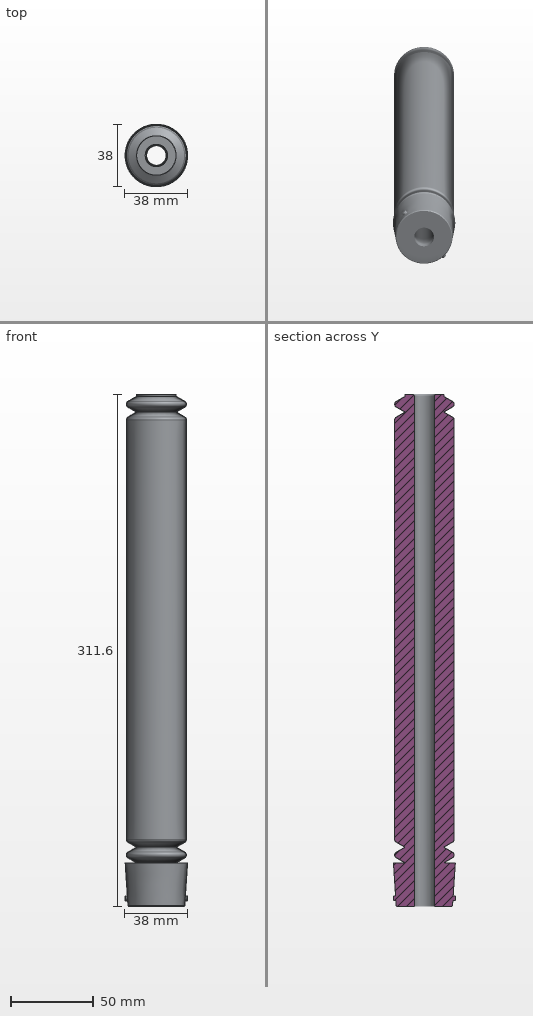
import cadquery as cq
import math

total_height = 311.59
column_diameter = 36.5
neck_diameter = 24.0
bore_diameter = 12.0
bore_chamfer = 0.8
lip_height = 1.2
flank_angle = 30.0
shoulder_rounding = 2.0

cap_height = 26.6
cap_top_diameter = 38.0
cap_bottom_diameter = 34.5
cap_base_chamfer = 0.5

pin_diameter = 3.0
pin_span = 38.0
pin_height = 5.0
pin_chamfer = 0.3

shoulder_turn = math.radians(90 - flank_angle)
neck_radius = neck_diameter / 2
wall_radius = column_diameter / 2
flank_end_radius = wall_radius - shoulder_rounding * (1 - math.cos(shoulder_turn))
flank_rise = (flank_end_radius - neck_radius) * math.tan(math.radians(flank_angle))
wall_start = flank_rise + shoulder_rounding * math.sin(shoulder_turn)
arc_middle_radius = wall_radius - shoulder_rounding * (1 - math.cos(shoulder_turn / 2))
arc_middle = wall_start - shoulder_rounding * math.sin(shoulder_turn / 2)

collar_length = 2 * wall_start
body_bottom = cap_height + collar_length
lip_bottom = total_height - lip_height
upper_collar_bottom = lip_bottom - collar_length
body_length = upper_collar_bottom - body_bottom


def rounded_drum(bottom, length):
    """Round bar whose ends taper to the neck diameter, with rounded shoulders."""
    profile = (
        cq.Workplane("XZ")
        .moveTo(0, 0)
        .lineTo(neck_radius, 0)
        .lineTo(flank_end_radius, flank_rise)
    )
    upper_flank = length - flank_rise
    if length > collar_length:
        profile = (
            profile
            .threePointArc((arc_middle_radius, arc_middle), (wall_radius, wall_start))
            .lineTo(wall_radius, length - wall_start)
            .threePointArc((arc_middle_radius, length - arc_middle), (flank_end_radius, upper_flank))
        )
    else:
        profile = profile.threePointArc((wall_radius, wall_start), (flank_end_radius, upper_flank))
    profile = profile.lineTo(neck_radius, length).lineTo(0, length).close()
    drum = profile.revolve(360, (0, 0, 0), (0, 1, 0))
    return drum.translate((0, 0, bottom))


def top_lip():
    """Short cylindrical land that closes the upper collar."""
    return (
        cq.Workplane("XY", origin=(0, 0, lip_bottom))
        .circle(neck_radius)
        .extrude(lip_height)
    )


def tapered_cap():
    """End cap that narrows from its top rim to the base."""
    return (
        cq.Workplane("XY")
        .circle(cap_bottom_diameter / 2)
        .workplane(offset=cap_height)
        .circle(cap_top_diameter / 2)
        .loft(ruled=True)
        .faces("<Z")
        .chamfer(cap_base_chamfer)
    )


def cross_pin():
    """Pin through the cap, standing out on both the -X and +X sides."""
    return (
        cq.Workplane("YZ")
        .center(0, pin_height)
        .circle(pin_diameter / 2)
        .extrude(pin_span / 2, both=True)
        .faces("<X or >X")
        .chamfer(pin_chamfer)
    )


def bore():
    """Axial through bore, chamfered at its top mouth."""
    mouth_radius = bore_diameter / 2 + bore_chamfer
    mouth_bottom = total_height - bore_chamfer
    hole = cq.Workplane("XY").circle(bore_diameter / 2).extrude(total_height)
    mouth = (
        cq.Workplane("XY", origin=(0, 0, mouth_bottom))
        .circle(bore_diameter / 2)
        .workplane(offset=bore_chamfer)
        .circle(mouth_radius)
        .loft(ruled=True)
    )
    return hole.union(mouth)


result = (
    tapered_cap()
    .union(cross_pin())
    .union(rounded_drum(cap_height, collar_length))
    .union(rounded_drum(body_bottom, body_length))
    .union(rounded_drum(upper_collar_bottom, collar_length))
    .union(top_lip())
    .cut(bore())
)